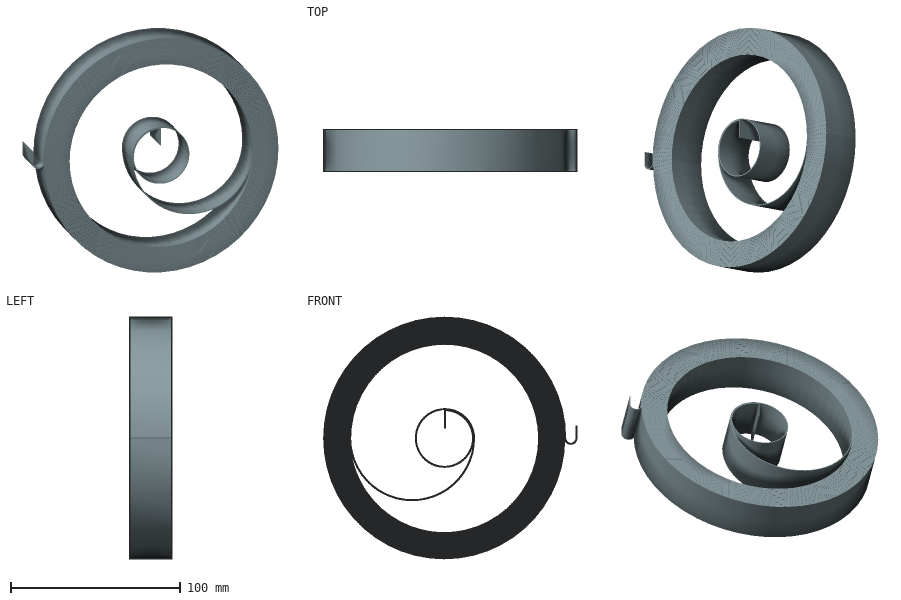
import cadquery as cq
import math

overall_length = 149.5
overall_height = 142.7

strip_thickness = 0.52
strip_width = 25.0

coil_turns = 28
coil_gap = 0.027
coil_pitch = strip_thickness + coil_gap
coil_left_reach = (overall_height - strip_thickness) / 2
coil_right_reach = coil_left_reach + coil_pitch / 2
coil_start_reach = coil_left_reach - coil_turns * coil_pitch

hub_radius = 16.9
hub_step = 0.6
tab_length = 10.8
hook_radius = (overall_length - coil_left_reach - coil_right_reach - strip_thickness) / 2
hook_leg_length = 7.2


def half_turn_ends():
    """X places where the strip centreline crosses the X axis, from the hub outwards."""
    hub_ends = [
        hub_radius,
        -hub_radius,
        hub_radius + hub_step,
    ]
    coil_ends = []
    for half_turn in range(2 * coil_turns + 2):
        reach = coil_start_reach + half_turn * coil_pitch / 2
        coil_ends.append(-reach if half_turn % 2 == 0 else reach)
    return hub_ends + coil_ends


def draw_half_turns(sketch, ends, direction):
    """One face of the strip as half circles through consecutive ends.

    Direction 1 draws the outer face from the hub outwards, -1 the inner face back to the hub.
    """
    offset = direction * strip_thickness / 2
    for start, end in zip(ends, ends[1:]):
        centre = (start + end) / 2
        radius = abs(end - start) / 2 + offset
        travel = 1 if end > start else -1
        sketch = sketch.threePointArc(
            (centre, travel * direction * radius),
            (centre + travel * radius, 0),
        )
    return sketch


def spring_outline():
    """Closed edge-on outline of the whole strip in the XZ plane."""
    half = strip_thickness / 2
    ends = half_turn_ends()
    hook_centre = ends[-1] + hook_radius
    hook_inner = hook_radius - half
    hook_outer = hook_radius + half
    tab_x = hub_step / 2
    hub_arc_radius = hub_radius - tab_x
    hub_outer = hub_arc_radius + half
    hub_inner = hub_arc_radius - half
    diagonal = math.sqrt(0.5)
    tab_bottom = hub_outer - tab_length
    tab_corner = math.sqrt(hub_inner**2 - half**2)

    sketch = cq.Workplane("XZ").moveTo(tab_x - half, tab_bottom)
    sketch = sketch.lineTo(tab_x - half, hub_outer).lineTo(tab_x, hub_outer)
    sketch = sketch.threePointArc(
        (tab_x + hub_outer * diagonal, hub_outer * diagonal),
        (tab_x + hub_outer, 0),
    )
    sketch = draw_half_turns(sketch, ends, 1)
    sketch = sketch.threePointArc((hook_centre, -hook_inner), (hook_centre + hook_inner, 0))
    sketch = sketch.lineTo(hook_centre + hook_inner, hook_leg_length)

    sketch = sketch.lineTo(hook_centre + hook_outer, hook_leg_length).lineTo(hook_centre + hook_outer, 0)
    sketch = sketch.threePointArc((hook_centre, -hook_outer), (hook_centre - hook_outer, 0))
    sketch = draw_half_turns(sketch, ends[::-1], -1)
    sketch = sketch.threePointArc(
        (tab_x + hub_inner * diagonal, hub_inner * diagonal),
        (tab_x + half, tab_corner),
    )
    return sketch.lineTo(tab_x + half, tab_bottom).close()


result = spring_outline().extrude(strip_width / 2, both=True)